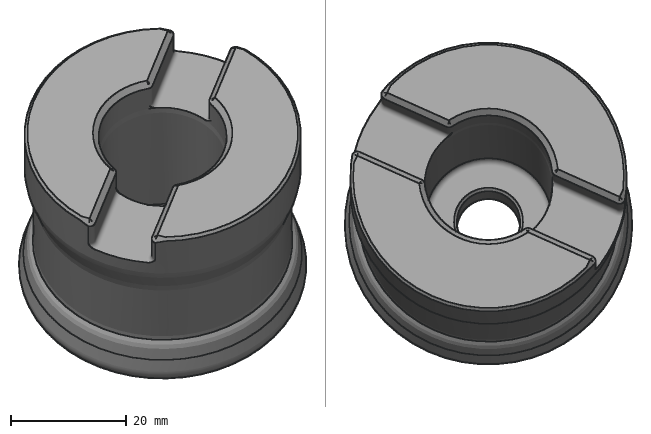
import cadquery as cq
import math

height = 40.0
head_radius = 48.0 / 2
waist_radius = 44.9 / 2
flange_radius = 24.95
face_radius = 18.45
head_edge_chamfer = 0.5

flange_bulge_height = 4.3
flange_rounding = 2.75
bottom_slope = math.radians(18.5)
flange_slope = math.radians(15.5)
flange_top_height = 10.95
flange_shoulder = 0.6
shoulder_radius = 22.55
flange_cone_top_height = 9.7
waist_bottom_height = 11.8
waist_top_height = 24.95
head_bottom_height = 29.95
neck_rounding = 5.0

slot_depth = 6.5
slot_half_width = 5.2
slot_floor_rounding = 0.9
jaw_edge = 1.0
jaw_end = 23.2
slot_floor = height - slot_depth

bore_radius = 22.0 / 2
bore_mouth_radius = 22.2 / 2
bore_taper_depth = 1.25
hole_radius = 11.0 / 2
hole_chamfer = 0.5

joint_height = 7.45
base_recess_depth = 1.0
base_floor = joint_height - base_recess_depth
base_corner_rounding = base_recess_depth

reach = 1.5 * flange_radius


def edges_at(level, half_size=reach):
    """Selector of the edges at one height whose centres lie within half_size of the axis."""
    margin = 0.05
    return cq.selectors.BoxSelector(
        (-half_size, -half_size, level - margin),
        (half_size, half_size, level + margin),
    )


def make_outer_body():
    """Solid of revolution with the waist, the head and the rounded flange."""
    round_centre = flange_radius - flange_rounding

    def flange_point(angle):
        return (
            round_centre + flange_rounding * math.cos(angle),
            flange_bulge_height + flange_rounding * math.sin(angle),
        )

    round_bottom = flange_point(bottom_slope - math.pi / 2)
    round_middle = flange_point(0)
    round_top = flange_point(flange_slope)
    cone_rise = flange_cone_top_height - round_top[1]
    cone_top_radius = round_top[0] - cone_rise * math.tan(flange_slope)
    profile = (
        cq.Workplane("XZ")
        .moveTo(0, 0)
        .lineTo(face_radius, 0)
        .lineTo(*round_bottom)
        .threePointArc(round_middle, round_top)
        .lineTo(cone_top_radius, flange_cone_top_height)
        .lineTo(shoulder_radius + flange_shoulder, flange_top_height - flange_shoulder)
        .lineTo(shoulder_radius, flange_top_height)
        .lineTo(waist_radius, waist_bottom_height)
        .lineTo(waist_radius, waist_top_height)
        .lineTo(head_radius, head_bottom_height)
        .lineTo(head_radius, height - head_edge_chamfer)
        .lineTo(head_radius - head_edge_chamfer, height)
        .lineTo(0, height)
        .close()
    )
    body = profile.revolve(360, (0, 0, 0), (0, 1, 0))
    for edge_height in (waist_top_height, head_bottom_height):
        body = body.edges(edges_at(edge_height)).fillet(neck_rounding)
    return body


def make_jaw():
    """Block on the +X side of the slot: chamfered top, rounded upright corners."""
    rim_x = slot_half_width + jaw_edge
    rim_y = jaw_end - jaw_edge
    rim_radius = bore_mouth_radius + jaw_edge
    rim_corner = math.sqrt(rim_radius**2 - rim_x**2)
    downward = cq.Plane(origin=(0, 0, height), xDir=(1, 0, 0), normal=(0, 0, -1))
    rim = (
        cq.Workplane(downward)
        .moveTo(rim_x, rim_corner)
        .lineTo(rim_x, rim_y)
        .lineTo(reach, rim_y)
        .lineTo(reach, -rim_y)
        .lineTo(rim_x, -rim_y)
        .lineTo(rim_x, -rim_corner)
        .threePointArc((rim_radius, 0), (rim_x, rim_corner))
        .close()
    )
    chamfered_top = rim.extrude(jaw_edge, taper=-45)
    foot_outline = chamfered_top.faces("<Z").wires().toPending()
    lower_block = foot_outline.extrude(slot_depth - jaw_edge, combine=False)
    return chamfered_top.union(lower_block)


def make_slot_cutter():
    """Everything above the slot floor except the two jaws, with the foot of the jaws rounded."""
    jaw = make_jaw()
    clearing = (
        cq.Workplane("XY", origin=(0, 0, slot_floor))
        .circle(reach)
        .extrude(slot_depth)
        .cut(jaw)
        .cut(jaw.rotate((0, 0, 0), (0, 0, 1), 180))
    )
    jaw_feet = edges_at(slot_floor, half_size=flange_radius)
    return clearing.edges(jaw_feet).fillet(slot_floor_rounding)


def make_bore():
    """Bore with a slightly wider mouth, a dished floor and a chamfered hole through the floor."""
    corner_centre_radius = bore_radius - base_corner_rounding
    corner_centre_height = base_floor + base_corner_rounding
    diagonal = base_corner_rounding * math.sqrt(0.5)
    return (
        cq.Workplane("XZ")
        .lineTo(hole_radius, 0)
        .lineTo(hole_radius, base_floor - hole_chamfer)
        .lineTo(hole_radius + hole_chamfer, base_floor)
        .lineTo(corner_centre_radius, base_floor)
        .threePointArc(
            (corner_centre_radius + diagonal, corner_centre_height - diagonal),
            (bore_radius, corner_centre_height),
        )
        .lineTo(bore_radius, slot_floor - bore_taper_depth)
        .lineTo(bore_mouth_radius, slot_floor)
        .lineTo(bore_mouth_radius, height)
        .lineTo(0, height)
        .close()
        .revolve(360, (0, 0, 0), (0, 1, 0))
    )


def make_lower_space():
    """Block that covers everything below the joint."""
    return cq.Workplane("XY").circle(reach).extrude(joint_height)


bored_body = make_outer_body().cut(make_bore())


def make_housing():
    """Upper body with the slotted head and the waist."""
    return bored_body.cut(make_lower_space()).cut(make_slot_cutter())


def make_base():
    """Lower part of the flange, which closes the bore."""
    return bored_body.intersect(make_lower_space())


housing = make_housing()
base = make_base()

result = cq.Compound.makeCompound([housing.solids().val(), base.solids().val()])